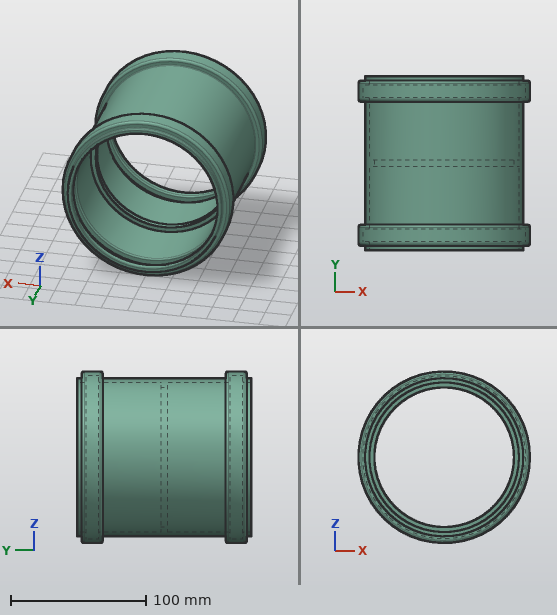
import cadquery as cq

half_length = 129.0 / 2

body_radius = 117.2 / 2
bore_radius = 110.8 / 2
wall = body_radius - bore_radius
rim_rounding = 0.4

collar_radius = 127.2 / 2
collar_width = 15.7
rim_width = 3.3
collar_outer_y = half_length - rim_width
collar_inner_y = collar_outer_y - collar_width
collar_rounding = 2.0
root_rounding = 0.4

groove_radius = collar_radius - wall
groove_outer_y = collar_outer_y - wall
groove_inner_y = collar_inner_y + wall
groove_edge_rounding = 1.2

stop_radius = 103.3 / 2
stop_half_width = 5.0 / 2

match_tolerance = 0.001


def revolve_profile(points):
    """Solid of revolution about the Y axis from (radius, y) points."""
    return cq.Workplane("XY").polyline(points).close().revolve(360, (0, 0, 0), (0, 1, 0))


def round_edges(part, radius, y, rounding):
    """Round the circular edges of this radius at +y and -y."""

    def is_match(edge):
        same_radius = edge.geomType() == "CIRCLE" and abs(edge.radius() - radius) < match_tolerance
        return same_radius and abs(abs(edge.Center().y) - y) < match_tolerance

    return part.edges().filter(is_match).fillet(rounding)


half_profile = [
    (stop_radius, stop_half_width),
    (bore_radius, stop_half_width),
    (bore_radius, groove_inner_y),
    (groove_radius, groove_inner_y),
    (groove_radius, groove_outer_y),
    (bore_radius, groove_outer_y),
    (bore_radius, half_length),
    (body_radius, half_length),
    (body_radius, collar_outer_y),
    (collar_radius, collar_outer_y),
    (collar_radius, collar_inner_y),
    (body_radius, collar_inner_y),
]
opposite_half = [(radius, -y) for radius, y in reversed(half_profile)]

rounded_edges = [
    (bore_radius, half_length, rim_rounding),
    (body_radius, half_length, rim_rounding),
    (collar_radius, collar_outer_y, collar_rounding),
    (collar_radius, collar_inner_y, collar_rounding),
    (body_radius, collar_outer_y, root_rounding),
    (body_radius, collar_inner_y, root_rounding),
    (bore_radius, groove_outer_y, groove_edge_rounding),
    (bore_radius, groove_inner_y, groove_edge_rounding),
]

result = revolve_profile(half_profile + opposite_half)
for edge_radius, edge_y, edge_rounding in rounded_edges:
    result = round_edges(result, edge_radius, edge_y, edge_rounding)